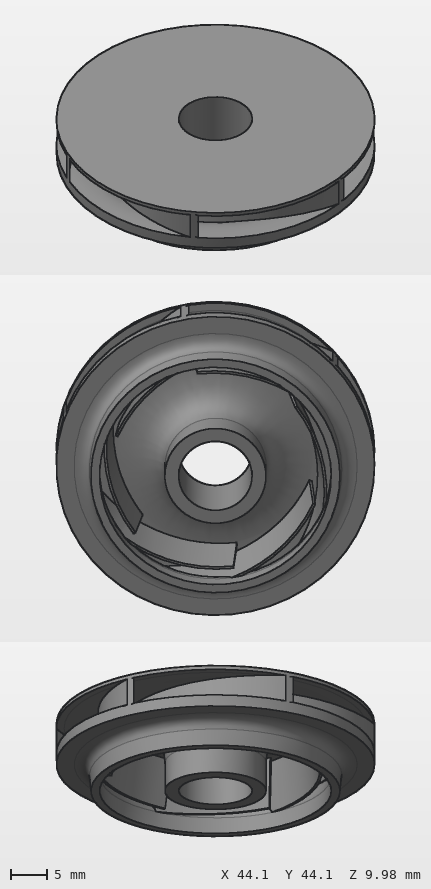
import cadquery as cq
import math

total_height = 9.98
shroud_bottom_z = 3.95
shroud_top_z = 5.60
plate_bottom_z = 9.40

outer_radius = 22.045
bore_radius = 5.08
rim_allowance = 0.3
blank_radius = outer_radius + rim_allowance

lip_bottom_radius = 17.24
lip_top_radius = 17.48
lip_top_z = 2.35
lip_wall = 1.2
lip_inner_radius = lip_bottom_radius - lip_wall
outer_flare_radius = 19.6

sleeve_radius = 7.0
sleeve_shoulder_z = 4.2
hub_shoulder_radius = 21.0

vane_count = 6
vane_tip_width = 1.12
vane_end_angle = 155.0
vane_center_y = -1.92
vane_center_x_at_shroud = 6.97
vane_center_x_at_plate = 7.70
vane_embed = 0.2
tip_overrun = 5.0


def revolve_profile(profile):
    """Close an XZ half profile and turn it about the Z axis."""
    return profile.close().revolve(360, (0, 0, 0), (0, 1, 0))


def make_hub():
    """Top plate whose underside sweeps down into a central sleeve."""
    profile = (
        cq.Workplane("XZ")
        .moveTo(bore_radius, 0)
        .lineTo(sleeve_radius, 0)
        .lineTo(sleeve_radius, sleeve_shoulder_z)
        .spline(
            [(hub_shoulder_radius, plate_bottom_z)],
            tangents=[(0, 1), (1, 0)],
            includeCurrent=True,
        )
        .lineTo(blank_radius, plate_bottom_z)
        .lineTo(blank_radius, total_height)
        .lineTo(bore_radius, total_height)
    )
    return revolve_profile(profile)


def make_shroud():
    """Lower disc with a floor that curves down into the inlet, its outside left square."""
    profile = (
        cq.Workplane("XZ")
        .moveTo(lip_inner_radius, 0)
        .lineTo(blank_radius, 0)
        .lineTo(blank_radius, shroud_top_z)
        .lineTo(outer_radius, shroud_top_z)
        .spline(
            [(lip_inner_radius, lip_top_z)],
            tangents=[(-1, 0), (0, -1)],
            includeCurrent=True,
        )
    )
    return revolve_profile(profile)


def make_envelope():
    """Solid of the finished outside: tapered inlet lip, flare and outer rim."""
    lip_taper = (lip_top_radius - lip_bottom_radius, lip_top_z)
    profile = (
        cq.Workplane("XZ")
        .lineTo(lip_bottom_radius, 0)
        .lineTo(lip_top_radius, lip_top_z)
        .spline(
            [(outer_flare_radius, shroud_bottom_z)],
            tangents=[lip_taper, (1, 0)],
            includeCurrent=True,
        )
        .lineTo(outer_radius, shroud_bottom_z)
        .lineTo(outer_radius, total_height)
        .lineTo(0, total_height)
    )
    return revolve_profile(profile)


def vane_section(z):
    """Wire of one vane at height z, its tip running slightly past the rim."""
    rise = (z - shroud_top_z) / (plate_bottom_z - shroud_top_z)
    center_x = vane_center_x_at_shroud + rise * (vane_center_x_at_plate - vane_center_x_at_shroud)
    half_tip = vane_tip_width / 2
    tip_y = -math.sqrt(outer_radius**2 - half_tip**2)
    tip_offset_y = tip_y - vane_center_y
    convex_radius = math.hypot(center_x + half_tip, tip_offset_y)
    concave_radius = math.hypot(center_x - half_tip, tip_offset_y)
    convex_start = 360 + math.degrees(math.atan2(tip_offset_y, -half_tip - center_x)) + tip_overrun
    concave_start = 360 + math.degrees(math.atan2(tip_offset_y, half_tip - center_x)) + tip_overrun

    def point(radius, angle):
        direction = math.radians(angle)
        return cq.Vector(
            center_x + radius * math.cos(direction),
            vane_center_y + radius * math.sin(direction),
            z,
        )

    def arc(radius, start):
        middle = (start + vane_end_angle) / 2
        end = point(radius, vane_end_angle)
        return cq.Edge.makeThreePointArc(point(radius, start), point(radius, middle), end)

    convex = arc(convex_radius, convex_start)
    concave = arc(concave_radius, concave_start)
    root = cq.Edge.makeLine(convex.endPoint(), concave.endPoint())
    tip = cq.Edge.makeLine(concave.startPoint(), convex.startPoint())
    return cq.Wire.assembleEdges([convex, root, concave, tip])


def make_vanes():
    """List of identical vanes spaced evenly about the axis."""
    high_z = plate_bottom_z + vane_embed
    vane = cq.Workplane(cq.Solid.makeLoft([vane_section(lip_top_z), vane_section(high_z)], True))
    pitch = 360 / vane_count
    return [vane.rotate((0, 0, 0), (0, 0, 1), index * pitch) for index in range(vane_count)]


def make_impeller():
    """Hub and shroud joined by the vanes, then trimmed to the finished outside."""
    body = make_hub()
    for vane in make_vanes():
        body = body.union(vane)
    body = body.union(make_shroud())
    return body.intersect(make_envelope())


result = make_impeller()